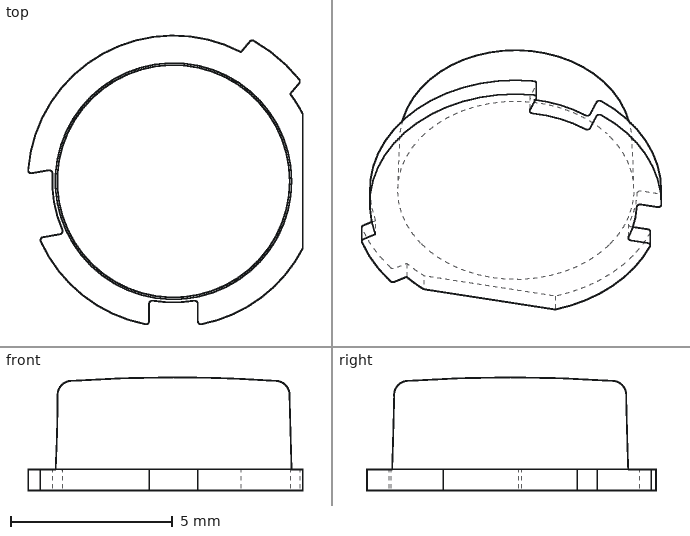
import cadquery as cq

overall_length = 8.93
flange_thickness = 0.65
flat_offset = 4.0
corner_radius = 0.1

notch_floor_radius = 3.75
front_notch_width = 1.5
side_notch_width = 2.0
notches = [(270, front_notch_width), (190, side_notch_width)]

corner_center_x = front_notch_width / 2 + corner_radius
center_span = overall_length - 2 * corner_radius
corner_center_radius = (center_span**2 + corner_center_x**2) / (2 * center_span)
flange_radius = corner_center_radius + corner_radius

tab_tip_radius = 5.0
tab_width = 2.0
tab_direction = 49.6

total_height = 3.5
cap_base_radius = 3.65
shoulder_radius = 3.59
shoulder_height = 2.9
dome_edge_radius = 3.125
dome_edge_height = 3.39
shoulder_bulge = (3.465, 3.26)


def disk(radius):
    return cq.Workplane("XY").circle(radius).extrude(flange_thickness)


def radial_bar(width, direction):
    """Flange-thick bar from the axis to beyond the rim, along the given direction."""
    bar = cq.Workplane("XY").rect(2 * tab_tip_radius, width).extrude(flange_thickness)
    return bar.translate((tab_tip_radius, 0, 0)).rotate((0, 0, 0), (0, 0, 1), direction)


def make_flange():
    flat_side = cq.Workplane("XY").rect(2 * flange_radius, 2 * flange_radius).extrude(flange_thickness)
    flange = disk(flange_radius).cut(flat_side.translate((flat_offset + flange_radius, 0, 0)))
    for direction, width in notches:
        flange = flange.cut(radial_bar(width, direction).cut(disk(notch_floor_radius)))
    return flange.edges("|Z").edges("not >X").fillet(corner_radius)


def make_tab():
    tab = radial_bar(tab_width, tab_direction).intersect(disk(tab_tip_radius))
    return tab.edges("|Z").fillet(corner_radius)


def make_cap():
    dome_rise = total_height - dome_edge_height
    dome_radius = (dome_edge_radius**2 + dome_rise**2) / (2 * dome_rise)
    mid_radius = dome_edge_radius / 2
    mid_height = total_height - dome_radius + (dome_radius**2 - mid_radius**2) ** 0.5
    profile = (
        cq.Workplane("XZ")
        .lineTo(cap_base_radius, 0)
        .lineTo(cap_base_radius, flange_thickness)
        .lineTo(shoulder_radius, shoulder_height)
        .threePointArc(shoulder_bulge, (dome_edge_radius, dome_edge_height))
        .threePointArc((mid_radius, mid_height), (0, total_height))
        .close()
    )
    return profile.revolve(axisStart=(0, 0, 0), axisEnd=(0, 1, 0))


result = make_flange().union(make_tab()).union(make_cap())